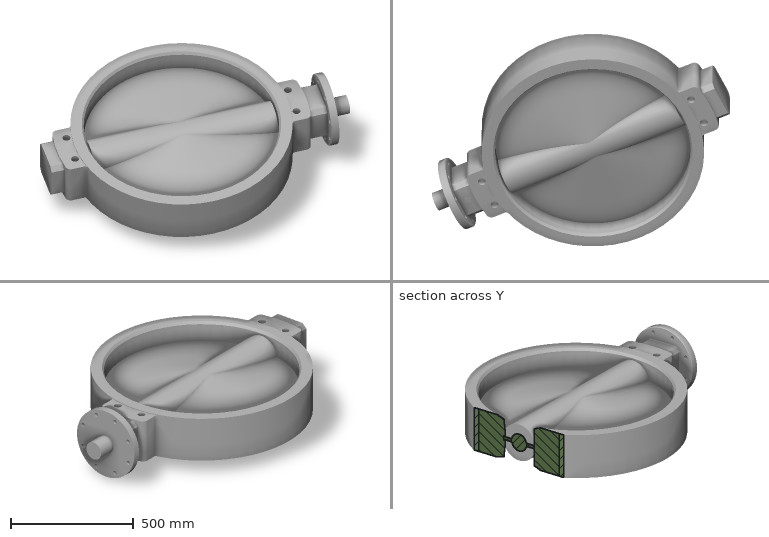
import cadquery as cq
import math


RING_RADIUS = 453.9
RING_HEIGHT = 193.0
LINER_OUTER_RADIUS = 442.0
BORE_RADIUS = 399.0
BORE_MOUTH_RADIUS = 407.0
BORE_CONE_DEPTH = 12.0

LUG_WIDTH = 227.0
LUG_HEIGHT = 185.0
LUG_END_RADIUS = 530.0
LUG_CORNER_RADIUS = 23.0
LUG_ROOT_RADIUS = 12.0
LUG_HOLE_DIAMETER = 32.0
LUG_HOLE_X = 62.0
LUG_HOLE_Y = 471.0

NECK_WIDTH = 168.0
NECK_CHAMFER = 19.0
LOWER_NECK_END = 578.0
PAD_DIAMETER = 28.0
PAD_HEIGHT = 3.0
PAD_Y = 562.0
FLANGE_DIAMETER = 300.0
FLANGE_THICKNESS = 32.0
FLANGE_FACE = 628.0
FLANGE_FILLET = 4.0
FLANGE_EDGE_CHAMFER = 3.0
FLANGE_HOLE_COUNT = 8
FLANGE_HOLE_DIAMETER = 18.0
FLANGE_HOLE_CIRCLE_RADIUS = 127.0

DISC_APEX_HEIGHT = 78.0
DISC_RIM_HEIGHT = 8.0
HUB_RADIUS = 81.0

SHAFT_DIAMETER = 77.0
SHAFT_END = 706.0
SHAFT_DEPTH_IN_HUB = 154.0
LOWER_SHAFT_END = 539.0

FLANGE_BACK = FLANGE_FACE - FLANGE_THICKNESS
HUB_END = math.sqrt(BORE_RADIUS**2 - HUB_RADIUS**2)
SHAFT_INNER_END = HUB_END - SHAFT_DEPTH_IN_HUB


def cylinder_along_y(radius, start, end):
    """Cylinder on the Y axis from y = start to the larger y = end."""
    return cq.Workplane("XZ", origin=(0, end, 0)).circle(radius).extrude(end - start)


def flow_cylinder(radius, height):
    """Cylinder on the Z axis, centred on the origin."""
    return cq.Workplane("XY", origin=(0, 0, -height / 2)).circle(radius).extrude(height)


def neck(start, end):
    """Chamfered square bar along Y from y = start to the larger y = end."""
    return (
        cq.Workplane("XZ", origin=(0, end, 0))
        .rect(NECK_WIDTH, NECK_WIDTH)
        .extrude(end - start)
        .edges("|Y")
        .chamfer(NECK_CHAMFER)
    )


def edges_near(body, x, y):
    """Straight flow-wise edges of the body at (x, y)."""
    margin = LUG_ROOT_RADIUS / 2
    box = cq.selectors.BoxSelector(
        (x - margin, y - margin, -LUG_HEIGHT), (x + margin, y + margin, LUG_HEIGHT)
    )
    return body.edges("|Z").edges(box)


def make_lugged_ring():
    """Solid ring blank with both lugs; the lugs are slightly lower than the ring."""
    lugs = (
        cq.Workplane("XY")
        .rect(LUG_WIDTH, 2 * (LUG_END_RADIUS + LUG_CORNER_RADIUS))
        .extrude(LUG_HEIGHT / 2, both=True)
        .intersect(flow_cylinder(LUG_END_RADIUS, LUG_HEIGHT))
        .edges("|Z")
        .fillet(LUG_CORNER_RADIUS)
    )
    blank = lugs.union(flow_cylinder(RING_RADIUS, RING_HEIGHT))
    root_x = LUG_WIDTH / 2
    root_y = math.sqrt(RING_RADIUS**2 - root_x**2)
    for side_x in (1, -1):
        for side_y in (1, -1):
            blank = edges_near(blank, side_x * root_x, side_y * root_y).fillet(LUG_ROOT_RADIUS)
    return blank


def make_lug_holes():
    return (
        cq.Workplane("XY")
        .rect(2 * LUG_HOLE_X, 2 * LUG_HOLE_Y, forConstruction=True)
        .vertices()
        .circle(LUG_HOLE_DIAMETER / 2)
        .extrude(LUG_HEIGHT, both=True)
    )


def make_flanged_neck():
    """Neck with the actuator flange on its +Y end and a fillet where they meet."""
    flange = (
        cylinder_along_y(FLANGE_DIAMETER / 2, FLANGE_BACK, FLANGE_FACE)
        .faces("<Y")
        .edges()
        .chamfer(FLANGE_EDGE_CHAMFER)
    )
    corner = cq.selectors.BoxSelector(
        (-NECK_WIDTH, FLANGE_BACK - FLANGE_FILLET, -NECK_WIDTH),
        (NECK_WIDTH, FLANGE_BACK + FLANGE_FILLET, NECK_WIDTH),
    )
    holes = (
        cq.Workplane("XZ", origin=(0, FLANGE_FACE, 0))
        .polarArray(FLANGE_HOLE_CIRCLE_RADIUS, 180 / FLANGE_HOLE_COUNT, 360, FLANGE_HOLE_COUNT)
        .circle(FLANGE_HOLE_DIAMETER / 2)
        .extrude(FLANGE_THICKNESS)
    )
    return (
        neck(-LOWER_NECK_END, FLANGE_BACK)
        .union(flange)
        .edges("%LINE")
        .edges(corner)
        .fillet(FLANGE_FILLET)
        .cut(holes)
    )


def make_pad():
    """Low round pad on the underside of the flanged neck."""
    return (
        cq.Workplane("XY", origin=(0, PAD_Y, -NECK_WIDTH / 2 - PAD_HEIGHT))
        .circle(PAD_DIAMETER / 2)
        .extrude(PAD_HEIGHT)
    )


def make_housing():
    return (
        make_lugged_ring()
        .union(make_flanged_neck())
        .union(make_pad())
        .cut(make_lug_holes())
        .cut(flow_cylinder(LINER_OUTER_RADIUS, RING_HEIGHT))
    )


def make_liner():
    """Sleeve in the housing, its bore widened by a steep cone at both ends."""
    face_z = RING_HEIGHT / 2
    cone_z = face_z - BORE_CONE_DEPTH
    return (
        cq.Workplane("XZ")
        .polyline(
            [
                (LINER_OUTER_RADIUS, -face_z),
                (LINER_OUTER_RADIUS, face_z),
                (BORE_MOUTH_RADIUS, face_z),
                (BORE_RADIUS, cone_z),
                (BORE_RADIUS, -cone_z),
                (BORE_MOUTH_RADIUS, -face_z),
            ]
        )
        .close()
        .revolve(360, (0, 0, 0), (0, 1, 0))
    )


def make_disc():
    cones = (
        cq.Workplane("XZ")
        .polyline(
            [
                (0, -DISC_APEX_HEIGHT),
                (BORE_RADIUS, -DISC_RIM_HEIGHT),
                (BORE_RADIUS, DISC_RIM_HEIGHT),
                (0, DISC_APEX_HEIGHT),
            ]
        )
        .close()
        .revolve(360, (0, 0, 0), (0, 1, 0))
    )
    return cones.union(cylinder_along_y(HUB_RADIUS, -HUB_END, HUB_END))


upper_shaft = cylinder_along_y(SHAFT_DIAMETER / 2, SHAFT_INNER_END, SHAFT_END)
lower_shaft = cylinder_along_y(SHAFT_DIAMETER / 2, -LOWER_SHAFT_END, -SHAFT_INNER_END)
housing = make_housing().cut(upper_shaft).cut(lower_shaft)
liner = make_liner().cut(upper_shaft).cut(lower_shaft)
disc = make_disc().cut(upper_shaft).cut(lower_shaft)

result = cq.Compound.makeCompound(
    [housing.val(), liner.val(), disc.val(), upper_shaft.val(), lower_shaft.val()]
)